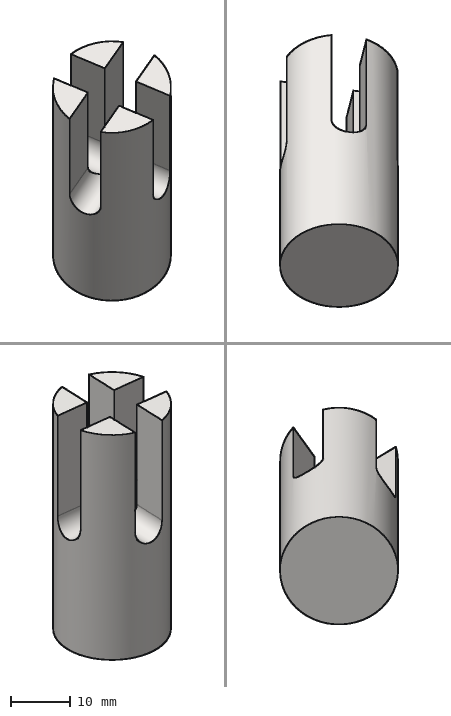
import cadquery as cq

height = 45.0
diameter = 20.0
slot_width = 6.0
slot_depth = 23.0

slot_radius = slot_width / 2
floor_axis_z = height - slot_depth + slot_radius
cut_length = 2 * diameter


def round_bottom_slot(plane):
    """Slot open at the top with a half-round floor, centred on the body axis."""
    return (
        cq.Workplane(plane)
        .moveTo(-slot_radius, height)
        .lineTo(-slot_radius, floor_axis_z)
        .threePointArc((0, floor_axis_z - slot_radius), (slot_radius, floor_axis_z))
        .lineTo(slot_radius, height)
        .close()
        .extrude(cut_length / 2, both=True)
    )


result = cq.Workplane("XY").circle(diameter / 2).extrude(height)

for slot_plane in ("XZ", "YZ"):
    result = result.cut(round_bottom_slot(slot_plane))